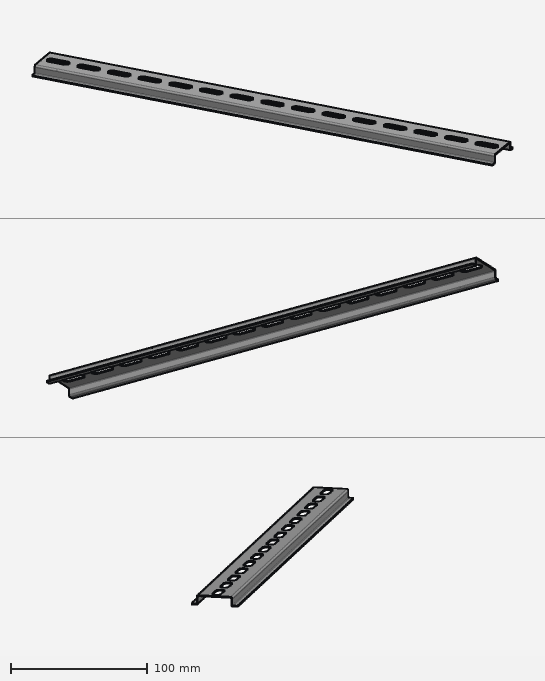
import cadquery as cq

length = 375.0
flange_span = 35.0
height = 7.5
crown_width = 27.0
thickness = 1.0
inner_radius = 0.4
outer_radius = inner_radius + thickness
corner_radius = 0.7

slot_count = 15
slot_length = 18.0
slot_width = 6.5
end_margin = 3.7
slot_pitch = (length - 2 * end_margin - slot_length) / (slot_count - 1)


def hat_section():
    """Sheet outline drawn on the +Y side and mirrored about the XZ plane."""
    edge = flange_span / 2
    web_outside = crown_width / 2
    web_inside = web_outside - thickness
    crown_underside = height - thickness
    return (
        cq.Workplane("YZ")
        .moveTo(0, height)
        .lineTo(web_outside - outer_radius, height)
        .radiusArc((web_outside, height - outer_radius), outer_radius)
        .lineTo(web_outside, thickness + inner_radius)
        .radiusArc((web_outside + inner_radius, thickness), -inner_radius)
        .lineTo(edge, thickness)
        .lineTo(edge, 0)
        .lineTo(web_inside + outer_radius, 0)
        .radiusArc((web_inside, outer_radius), outer_radius)
        .lineTo(web_inside, crown_underside - inner_radius)
        .radiusArc((web_inside - inner_radius, crown_underside), -inner_radius)
        .lineTo(0, crown_underside)
        .mirrorY()
    )


def crown_slots():
    """Evenly pitched mounting slots through the crown."""
    return (
        cq.Workplane("XY")
        .workplane(offset=height - thickness)
        .rarray(slot_pitch, 3.7, slot_count, 1)
        .slot2D(slot_length, slot_width)
        .extrude(thickness)
    )


rail = hat_section().extrude(length / 2, both=True)
rail = rail.edges("|Z and (<Y or >Y)").fillet(corner_radius)
result = rail.cut(crown_slots())